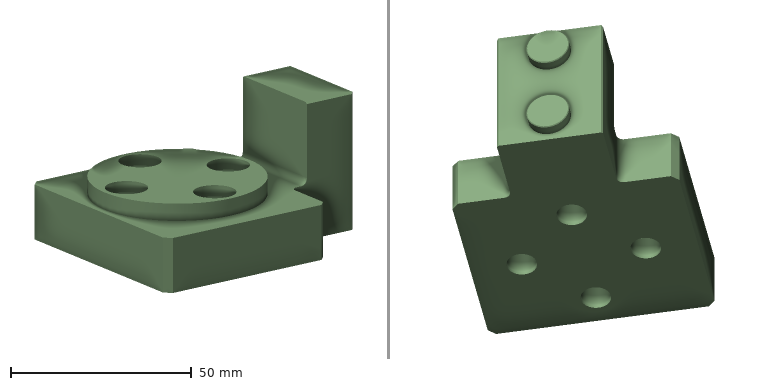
import cadquery as cq

base_width = 64.0
base_depth = 55.0
base_height = 16.0
total_depth = 79.5
total_height = 40.0
corner_chamfer = 2.0

block_width = 30.0
block_thickness = 16.0
block_chamfer = 0.5
root_fillet = 2.0

boss_diameter = 50.0
boss_height = 5.0
boss_y = 27.0
hole_circle_radius = 17.5
hole_count = 4
hole_diameter = 8.5
counterbore_diameter = 12.0
counterbore_depth = 3.25

stud_diameter = 12.0
stud_length = 3.0
stud_chamfer = 0.2
stud_spacing = 24.0
lower_stud_z = base_height / 2
stud_heights = [lower_stud_z, lower_stud_z + stud_spacing]

block_back_y = total_depth - stud_length
block_front_y = block_back_y - block_thickness


def make_base():
    """Rectangular plate with chamfered vertical corners."""
    plate = cq.Workplane("XY").box(base_width, base_depth, base_height, centered=(True, False, False))
    return plate.edges("|Z").chamfer(corner_chamfer)


def make_upright():
    """L-shaped block whose foot runs forward into the base."""
    profile = [
        (base_depth / 2, 0),
        (block_back_y, 0),
        (block_back_y, total_height),
        (block_front_y, total_height),
        (block_front_y, base_height),
        (base_depth / 2, base_height),
    ]
    upright = cq.Workplane("YZ").polyline(profile).close().extrude(block_width / 2, both=True)
    upright = upright.edges("|Z and >Y").chamfer(block_chamfer)
    return upright.faces(">Z").edges("<X or >X").chamfer(block_chamfer)


def fillet_roots(body):
    """Round the inner corners where the upright meets its foot and the base."""
    floor_corner = cq.selectors.NearestToPointSelector((0, block_front_y, base_height))
    body = body.edges(floor_corner).fillet(root_fillet)
    for side in (-1, 1):
        side_corner = cq.selectors.NearestToPointSelector(
            (side * block_width / 2, base_depth, base_height / 2)
        )
        body = body.edges(side_corner).fillet(root_fillet)
    return body


def add_boss(body):
    """Add the round boss on top of the base."""
    boss = (
        cq.Workplane("XY", origin=(0, boss_y, base_height))
        .circle(boss_diameter / 2)
        .extrude(boss_height)
    )
    return body.union(boss)


def cut_holes(body):
    """Cut the ring of counterbored holes through the boss and the base."""
    return (
        body.copyWorkplane(cq.Workplane("XY", origin=(0, boss_y, base_height + boss_height)))
        .polarArray(hole_circle_radius, 0, 360, hole_count)
        .cboreHole(hole_diameter, counterbore_diameter, counterbore_depth)
    )


def make_bracket():
    body = make_base().union(make_upright())
    body = fillet_roots(body)
    body = add_boss(body)
    return cut_holes(body)


def make_stud(center_z):
    """Round stud standing on the back face, chamfered at its free end."""
    stud = (
        cq.Workplane("XZ", origin=(0, block_back_y, center_z))
        .circle(stud_diameter / 2)
        .extrude(-stud_length)
    )
    return stud.faces(">Y").chamfer(stud_chamfer)


bracket = make_bracket()
studs = [make_stud(center_z).val() for center_z in stud_heights]

result = cq.Compound.makeCompound([bracket.solids().val(), *studs])